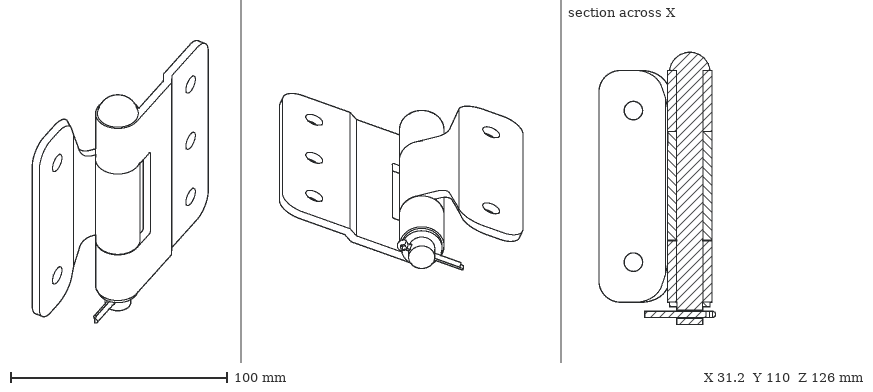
import cadquery as cq
import math

leaf_height = 107.2
half_height = leaf_height / 2
sheet = 3.9
knuckle_radius = 10.3
inner_face_radius = knuckle_radius - sheet
pin_radius = 6.0
corner_radius = 10.1
screw_hole_dia = 8.5
screw_pitch = 35.0
clear = 126.0

joggled_end_y = 67.9
jog_start_y = 30.0
jog_length = 4.2
jog_offset = 2.4
joggled_screw_y = 52.0
notch_height = 50.4
notch_end_y = 12.0
notch_corner_radius = 1.0

cranked_end_y = -42.1
cranked_face_x = -20.9
web_angle_deg = 52.0
cranked_screw_y = -26.1
running_gap = 0.4
web_top_z = notch_height / 2
web_bottom_z = -notch_height / 2 + running_gap
taper_start = -2.0
taper_end = 5.7
web_fillet = 6.3

dome_radius = 9.5
dome_height = 8.5
shank_below = 10.3
washer_radius = 9.5
washer_thickness = 2.1
cotter_z = -half_height - 5.5
cotter_hole_dia = 3.7
cotter_radius = 1.5
leg_gap = 0.1
long_leg_y = -20.9
short_leg_y = -19.0
neck_y = 7.4
loop_y = 9.1
loop_inner_radius = 1.4


def cylinder(radius, bottom, top):
    return cq.Workplane("XY").workplane(offset=bottom).circle(radius).extrude(top - bottom)


def screw_holes(y, heights):
    points = [(y, z) for z in heights]
    return cq.Workplane("YZ").pushPoints(points).circle(screw_hole_dia / 2).extrude(clear, both=True)


def full_height_strip(outline):
    return (
        cq.Workplane("XY").workplane(offset=-half_height)
        .polyline(outline).close().extrude(leaf_height)
    )


def make_joggled_leaf():
    inner_x = inner_face_radius
    outer_x = knuckle_radius
    jog_angle = math.atan2(jog_offset, jog_length)
    bend_shift = sheet * math.tan(jog_angle / 2)
    jog_end_y = jog_start_y + jog_length
    outline = [
        (inner_x, 0),
        (outer_x, 0),
        (outer_x, jog_start_y + bend_shift),
        (outer_x - jog_offset, jog_end_y + bend_shift),
        (outer_x - jog_offset, joggled_end_y),
        (inner_x - jog_offset, joggled_end_y),
        (inner_x - jog_offset, jog_end_y),
        (inner_x, jog_start_y),
    ]
    leaf = full_height_strip(outline).faces(">Y").edges("|X").fillet(corner_radius)
    leaf = leaf.union(cylinder(knuckle_radius, -half_height, half_height))
    leaf = leaf.cut(cylinder(pin_radius, -half_height, half_height))
    notch = (
        cq.Workplane("XY").box(clear, clear, notch_height)
        .translate((0, notch_end_y - clear / 2, 0))
        .faces(">Y").edges("|X").fillet(notch_corner_radius)
    )
    holes = screw_holes(joggled_screw_y, [-screw_pitch, 0, screw_pitch])
    return leaf.cut(notch).cut(holes)


def make_cranked_leaf():
    along_x = math.cos(math.radians(web_angle_deg))
    along_y = math.sin(math.radians(web_angle_deg))

    def bend_point(face_x, axis_distance):
        return (face_x, (axis_distance + along_y * face_x) / along_x)

    def tangent_point(radius):
        return (-radius * along_y, radius * along_x)

    inner_face_x = cranked_face_x + sheet
    outer_bend = bend_point(cranked_face_x, knuckle_radius)
    outline = [
        (cranked_face_x, cranked_end_y),
        outer_bend,
        tangent_point(knuckle_radius),
        tangent_point(inner_face_radius),
        bend_point(inner_face_x, inner_face_radius),
        (inner_face_x, cranked_end_y),
    ]
    strip = full_height_strip(outline).faces("<Y").edges("|X").fillet(corner_radius)
    strip = strip.union(cylinder(knuckle_radius, -half_height, half_height))

    profile = (
        cq.Workplane("XZ")
        .polyline([
            (-clear, -half_height), (taper_start, -half_height), (taper_end, web_bottom_z),
            (clear, web_bottom_z), (clear, web_top_z),
            (taper_end, web_top_z), (taper_start, half_height), (-clear, half_height),
        ])
        .close().extrude(clear, both=True)
    )
    taper_edges = profile.edges("|Y").edges("not (<X or >X)")
    profile = taper_edges.edges("not (<Z or >Z)").fillet(web_fillet)
    for level in ("<Z", ">Z"):
        profile = profile.edges("|Y").edges(level).edges(">X").fillet(corner_radius)
    profile = profile.rotate((0, 0, 0), (0, 0, 1), web_angle_deg).translate((*outer_bend, 0))
    leaf = strip.intersect(profile)
    leaf = leaf.cut(cylinder(pin_radius, -half_height, half_height))
    return leaf.cut(screw_holes(cranked_screw_y, [-screw_pitch, screw_pitch]))


def make_pin():
    shank = cylinder(pin_radius, -half_height - shank_below, half_height)
    cap_radius = (dome_radius ** 2 + dome_height ** 2) / (2 * dome_height)
    center_z = half_height + dome_height - cap_radius
    dome = cq.Workplane("XY").sphere(cap_radius).translate((0, 0, center_z))
    dome = dome.intersect(cylinder(clear, half_height, half_height + clear))
    cotter_hole = (
        cq.Workplane("XZ").center(0, cotter_z).circle(cotter_hole_dia / 2).extrude(clear, both=True)
    )
    return shank.cut(cotter_hole).union(dome)


def make_washer():
    washer_top = -half_height
    washer_bottom = washer_top - washer_thickness
    ring = cylinder(washer_radius, washer_bottom, washer_top)
    return ring.cut(cylinder(pin_radius, washer_bottom, washer_top))


def make_cotter_pin():
    def half_round(y, flat_x, side):
        return (
            cq.Workplane("XZ", origin=(side * flat_x, y, cotter_z))
            .moveTo(0, -cotter_radius)
            .threePointArc((side * cotter_radius, 0), (0, cotter_radius))
            .close()
        )

    def leg(tip_y, side):
        straight = half_round(neck_y, leg_gap / 2, side).extrude(neck_y - tip_y)
        neck_start = half_round(neck_y, leg_gap / 2, side).val()
        neck_end = half_round(loop_y, loop_inner_radius, side).val()
        neck = cq.Workplane(cq.Solid.makeLoft([neck_start, neck_end], True))
        return straight.union(neck)

    loop = half_round(loop_y, loop_inner_radius, 1).revolve(
        180, (-loop_inner_radius, 0, 0), (-loop_inner_radius, 1, 0)
    )
    return loop.union(leg(long_leg_y, 1)).union(leg(short_leg_y, -1))


joggled_leaf = make_joggled_leaf()
cranked_leaf = make_cranked_leaf()
pin = make_pin()
washer = make_washer()
cotter_pin = make_cotter_pin()

result = cq.Compound.makeCompound([
    joggled_leaf.val(),
    cranked_leaf.val(),
    pin.val(),
    washer.val(),
    cotter_pin.val(),
])